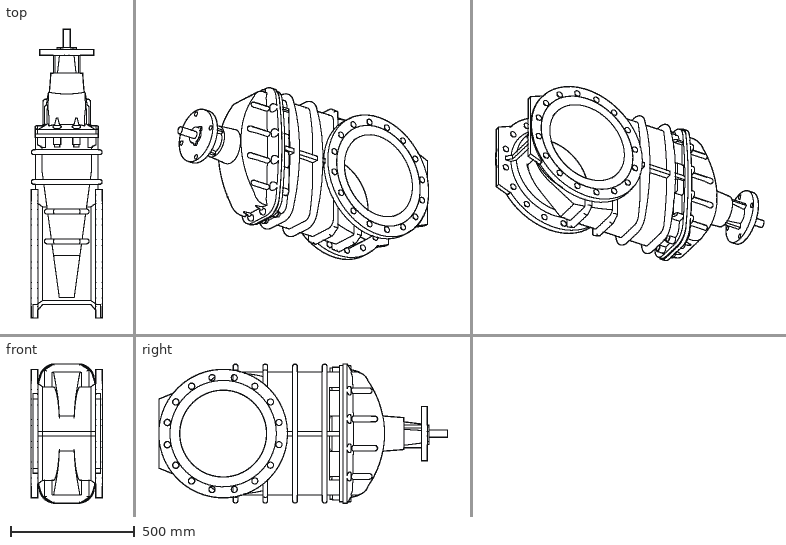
import cadquery as cq
import math


BORE_D = 350
HALF_LENGTH = 145
FLANGE_D = 520
FLANGE_FACE_X = 144
FLANGE_BACK_X = 117
RAISED_FACE_D = 430
HUB_R = 189
HUB_HALF_X = 97
HUB_FLARE_R = 203
BOLT_CIRCLE_D = 460
BOLT_HOLE_D = 24.5
BOLT_COUNT = 16
FOOT_OUTER_X = 137
FOOT_TOP_Y = -206
FOOT_TOP_HALF_Z = 162
FOOT_BASE_HALF_Z = 140

CHAMBER_HALF_X = 100
CHAMBER_EDGE_HALF_X = 73
CHAMBER_HALF_Z = 249
CHAMBER_CORNER_R = 31
TAPER_START_Y = 335
TAPER_END_HALF_X = 30
CHAMBER_SHOULDER = (-8, CHAMBER_HALF_Z)
CHAMBER_KNEE = (-111, 168)
CHAMBER_TIP = (-178, 71)
CHAMBER_TOE_R = 197

RIB_R = 10
RIB_HALF_Z = 281
RIB_PITCH = 120
FIRST_RIB_Y = 50
FULL_RIB_HALF_X = 144
FULL_RIB_EDGE_HALF_X = 90
FULL_RIB_CORNER_R = 66
SHORT_RIB_HALF_X = 90
SHORT_RIB_FLAT_HALF_X = 50
SHORT_RIB_SIDE_Z = 262
SPINE_WIDTH = 18
SPINE_HALF_X = 127
SPINE_FOOT_Y = -228

JOINT_Y = 484
BODY_JOINT_BACK_Y = 469
BONNET_JOINT_BACK_Y = 501
BONNET_BASE_Y = 526
JOINT_HALF_X = 128
JOINT_EDGE_HALF_X = 101
BODY_JOINT_HALF_Z = 276
BONNET_JOINT_HALF_Z = 282
JOINT_CORNER_R = 66

BONNET_HALF_X = 87
BONNET_EDGE_HALF_X = 72
DOME_APEX_Y = 652
DOME_R = 375
DOME_EDGE_HALF_Z = 214
DOME_CORNER_LENGTH = 50
DOME_EDGE_Y = DOME_APEX_Y - DOME_R + math.sqrt(DOME_R**2 - DOME_EDGE_HALF_Z**2)
CROWN_HALF_X = 74

SIDE_BOLT_Z = (59, 173)
SIDE_BOLT_HEAD_X = (110, 101)
END_BOLT_X = 39
END_BOLT_HEAD_Z = 258
BOLT_HEAD_R = 18
BOLT_HEAD_TOP_Y = 517
BOLT_RIB_R = 11.5
BOLT_HEAD_ROUND_R = 6
BOLT_RIB_SINK = 1.5
SIDE_BOLT_RIB_TOP_Y = (613, 590)
END_CONE_TOP_Y = 548
END_CONE_TIP_R = 3
END_CONE_Z = 247
PAD_HALF_X = 118
PAD_BEVEL_Y = 440
PAD_END_Y = 429
PAD_BEVEL_WIDTH = 20
PAD_ROUND_R = 10
CENTER_PAD_TOP_Z = 72
OUTER_PAD_Z = (174, 187)
POCKET_FLOOR_X = 104
END_BOSS_D = 30
END_BOSS_Z = 254
END_BOSS_END_Y = 442
END_NUT_D = 23
END_NUT_END_Y = 431

NECK_BASE_Y = 640
NECK_BASE_R = 72
NECK_SHOULDER_Y = 729.5
NECK_SHOULDER_R = 65
THROAT_BASE_R = 48
THROAT_TOP_R = 39
WEB_R = 58
WEB_THICKNESS = 15
TOP_FLANGE_BACK_Y = 801
TOP_FLANGE_FACE_Y = 825
TOP_FLANGE_D = 220
TOP_FLANGE_BOLT_R = 95
TOP_FLANGE_HOLE_D = 18
TOP_FLANGE_HOLE_COUNT = 4
COLLAR_R = 34
COLLAR_END_Y = 832
COLLAR_LUG_R = 9
COLLAR_LUG_CENTER_R = 36
STEM_D = 30
STEM_END_Y = 907
THIRD_TURN_ANGLES = (30, 150, 270)


def cylinder_y(radius, start_y, end_y, x=0, z=0):
    """Cylinder with its axis along Y."""
    start = cq.Vector(x, start_y, z)
    return cq.Workplane(cq.Solid.makeCylinder(radius, end_y - start_y, start, cq.Vector(0, 1, 0)))


def cone_y(start_r, end_r, start_y, end_y, x=0, z=0):
    """Cone with its axis along Y."""
    start = cq.Vector(x, start_y, z)
    return cq.Workplane(cq.Solid.makeCone(start_r, end_r, end_y - start_y, start, cq.Vector(0, 1, 0)))


def box_between(x_range, y_range, z_range):
    """Axis-aligned box between pairs of limits."""
    limits = (x_range, y_range, z_range)
    sizes = [high - low for low, high in limits]
    return cq.Workplane("XY").box(*sizes, centered=False).translate([low for low, high in limits])


def section_plane(y):
    """XZ work plane at the given Y whose normal points to +Y (local y is -Z)."""
    return cq.Workplane(cq.Plane(origin=(0, y, 0), xDir=(1, 0, 0), normal=(0, 1, 0)))


def sharp_barrel_plate(start_y, end_y, half_x, edge_half_x, half_z, taper=0):
    """Plate along Y: flat top and bottom, bowed sides, optionally tapering inwards."""
    return (
        section_plane(start_y)
        .moveTo(-edge_half_x, half_z)
        .lineTo(edge_half_x, half_z)
        .threePointArc((half_x, 0), (edge_half_x, -half_z))
        .lineTo(-edge_half_x, -half_z)
        .threePointArc((-half_x, 0), (-edge_half_x, half_z))
        .close()
        .extrude(end_y - start_y, taper=taper)
    )


def barrel_plate(start_y, end_y, half_x, edge_half_x, half_z, corner_r):
    """Bowed plate with rounded corners."""
    plate = sharp_barrel_plate(start_y, end_y, half_x, edge_half_x, half_z)
    return plate.edges("|Y").fillet(corner_r)


def pipe_hub():
    """Solid of revolution about the bore axis, with raised faces."""
    right_profile = [
        (HUB_HALF_X, HUB_R),
        (FLANGE_BACK_X, HUB_FLARE_R),
        (FLANGE_BACK_X, FLANGE_D / 2),
        (FLANGE_FACE_X, FLANGE_D / 2),
        (FLANGE_FACE_X, RAISED_FACE_D / 2),
        (HALF_LENGTH, RAISED_FACE_D / 2),
        (HALF_LENGTH, 0),
    ]
    left_profile = [(-x, radius) for x, radius in reversed(right_profile)]
    profile = cq.Workplane("XY").polyline(left_profile + right_profile).close()
    return profile.revolve(360, (0, 0, 0), (1, 0, 0))


def foot():
    """Flat-based foot under the -X flange."""
    base_y = -FLANGE_D / 2
    return (
        cq.Workplane("YZ", origin=(-FOOT_OUTER_X, 0, 0))
        .moveTo(FOOT_TOP_Y, -FOOT_TOP_HALF_Z)
        .lineTo(base_y, -FOOT_BASE_HALF_Z)
        .lineTo(base_y, FOOT_BASE_HALF_Z)
        .lineTo(FOOT_TOP_Y, FOOT_TOP_HALF_Z)
        .close()
        .extrude(FOOT_OUTER_X - FLANGE_BACK_X)
    )


def gate_chamber():
    """Bowed chamber whose sides taper and whose ends slope into the hub."""
    tip_y = CHAMBER_TIP[0]
    chamber = barrel_plate(
        tip_y, JOINT_Y, CHAMBER_HALF_X, CHAMBER_EDGE_HALF_X, CHAMBER_HALF_Z, CHAMBER_CORNER_R
    )
    plan = (
        cq.Workplane("XY", origin=(0, 0, -CHAMBER_HALF_Z))
        .moveTo(-TAPER_END_HALF_X, tip_y)
        .lineTo(TAPER_END_HALF_X, tip_y)
        .lineTo(CHAMBER_HALF_X, TAPER_START_Y)
        .lineTo(CHAMBER_HALF_X, JOINT_Y)
        .lineTo(-CHAMBER_HALF_X, JOINT_Y)
        .lineTo(-CHAMBER_HALF_X, TAPER_START_Y)
        .close()
        .extrude(2 * CHAMBER_HALF_Z)
    )
    upper_half = [(JOINT_Y, CHAMBER_HALF_Z), CHAMBER_SHOULDER, CHAMBER_KNEE]
    lower_half = [(y, -z) for y, z in reversed(upper_half)]
    knee_angle = math.atan2(CHAMBER_KNEE[1], CHAMBER_KNEE[0])
    tip_angle = math.atan2(CHAMBER_TIP[1], CHAMBER_TIP[0])
    toe_angle = (knee_angle + tip_angle) / 2
    toe_y = CHAMBER_TOE_R * math.cos(toe_angle)
    toe_z = CHAMBER_TOE_R * math.sin(toe_angle)
    side = (
        cq.Workplane("YZ")
        .polyline(upper_half)
        .threePointArc((toe_y, toe_z), CHAMBER_TIP)
        .lineTo(tip_y, -CHAMBER_TIP[1])
        .threePointArc((toe_y, -toe_z), lower_half[0])
        .polyline(lower_half, includeCurrent=False)
        .close()
        .extrude(CHAMBER_HALF_X, both=True)
    )
    return chamber.intersect(plan).intersect(side)


def add_round_rim(core):
    """Sweep a circle around a plate so that its outer edge becomes a full round."""
    end_outline = core.faces("<Y").wires().val()
    outline = end_outline.translate(cq.Vector(0, RIB_R, 0))
    start_plane = cq.Plane(origin=outline.positionAt(0).toTuple(), normal=outline.tangentAt(0).toTuple())
    rim = cq.Workplane(start_plane).circle(RIB_R).sweep(cq.Workplane(outline), transition="right")
    return core.union(rim)


def full_rib(y):
    """Round-edged rib running all the way around the chamber."""
    core = barrel_plate(
        -RIB_R,
        RIB_R,
        FULL_RIB_HALF_X - RIB_R,
        FULL_RIB_EDGE_HALF_X - RIB_R,
        RIB_HALF_Z - RIB_R,
        FULL_RIB_CORNER_R - RIB_R,
    )
    return add_round_rim(core).translate((0, y, 0))


def short_rib(y):
    """Round-edged rib across the chamber beside the hub, with bevelled corners."""
    side_x = SHORT_RIB_HALF_X - RIB_R
    side_z = SHORT_RIB_SIDE_Z - RIB_R
    flat_z = RIB_HALF_Z - RIB_R
    corners = [
        (side_x, side_z),
        (SHORT_RIB_FLAT_HALF_X, flat_z),
        (-SHORT_RIB_FLAT_HALF_X, flat_z),
        (-side_x, side_z),
    ]
    opposite = [(-x, -z) for x, z in corners]
    core = section_plane(-RIB_R).polyline(corners + opposite).close().extrude(2 * RIB_R)
    return add_round_rim(core).translate((0, y, 0))


def center_spine():
    """Narrow rib in the Z = 0 plane along the chamber and below the hub."""
    return (
        cq.Workplane("XY", origin=(0, 0, -SPINE_WIDTH / 2))
        .moveTo(-SPINE_HALF_X, JOINT_Y)
        .lineTo(SPINE_HALF_X, JOINT_Y)
        .lineTo(SPINE_HALF_X, SPINE_FOOT_Y)
        .lineTo(FLANGE_BACK_X, SPINE_FOOT_Y)
        .lineTo(HUB_HALF_X, FOOT_TOP_Y)
        .lineTo(-HUB_HALF_X, FOOT_TOP_Y)
        .lineTo(-FLANGE_BACK_X, SPINE_FOOT_Y)
        .lineTo(-SPINE_HALF_X, SPINE_FOOT_Y)
        .close()
        .extrude(SPINE_WIDTH)
    )


def joint_flanges():
    """Chamber flange, bonnet flange and the bevel up to the bonnet wall."""
    body_flange = barrel_plate(
        BODY_JOINT_BACK_Y, JOINT_Y, JOINT_HALF_X, JOINT_EDGE_HALF_X, BODY_JOINT_HALF_Z, JOINT_CORNER_R
    )
    bonnet_flange = barrel_plate(
        JOINT_Y, BONNET_JOINT_BACK_Y, JOINT_HALF_X, JOINT_EDGE_HALF_X, BONNET_JOINT_HALF_Z, JOINT_CORNER_R
    )
    bevel_height = BONNET_BASE_Y - BONNET_JOINT_BACK_Y
    bevel_angle = math.degrees(math.atan2(JOINT_HALF_X - BONNET_HALF_X, bevel_height))
    bevel = bonnet_flange.faces(">Y").wires().toPending().workplane().extrude(
        bevel_height, taper=bevel_angle, combine=False
    )
    return body_flange.union(bonnet_flange).union(bevel)


def bonnet():
    """Domed bonnet with bowed sides and a tapering crown."""
    mid_dome_y = DOME_APEX_Y - DOME_R + math.sqrt(DOME_R**2 - (DOME_EDGE_HALF_Z / 2) ** 2)
    corner_y = DOME_EDGE_Y - DOME_CORNER_LENGTH
    dome = (
        cq.Workplane("YZ")
        .moveTo(JOINT_Y, 0)
        .lineTo(JOINT_Y, CHAMBER_HALF_Z)
        .lineTo(corner_y, CHAMBER_HALF_Z)
        .tangentArcPoint((DOME_EDGE_Y, DOME_EDGE_HALF_Z), relative=False)
        .threePointArc((mid_dome_y, DOME_EDGE_HALF_Z / 2), (DOME_APEX_Y, 0))
        .close()
        .extrude(BONNET_HALF_X, both=True)
    )
    dome = dome.union(dome.mirror("XY"))
    wall_shape = (BONNET_HALF_X, BONNET_EDGE_HALF_X, CHAMBER_HALF_Z)
    crown_angle = math.degrees(math.atan2(BONNET_HALF_X - CROWN_HALF_X, DOME_APEX_Y - DOME_EDGE_Y))
    wall = sharp_barrel_plate(JOINT_Y, DOME_EDGE_Y, *wall_shape)
    crown = sharp_barrel_plate(DOME_EDGE_Y, DOME_APEX_Y, *wall_shape, taper=crown_angle)
    return wall.union(crown).intersect(dome)


def bonnet_wall_x(z):
    """Half-width of the bowed bonnet wall at height z."""
    bow = BONNET_HALF_X - BONNET_EDGE_HALF_X
    return BONNET_HALF_X - bow * (z / CHAMBER_HALF_Z) ** 2


def side_bolts():
    """Bolt heads on the +X side, each under a rounded rib on the bonnet."""
    bolts = cq.Workplane()
    for z, head_x, rib_top_y in zip(SIDE_BOLT_Z, SIDE_BOLT_HEAD_X, SIDE_BOLT_RIB_TOP_Y):
        rib_x = bonnet_wall_x(z) - BOLT_RIB_SINK
        rib = cylinder_y(BOLT_RIB_R, JOINT_Y, rib_top_y, rib_x, z)
        rib_end = cq.Workplane().sphere(BOLT_RIB_R).translate((rib_x, rib_top_y, z))
        head = cylinder_y(BOLT_HEAD_R, JOINT_Y, BOLT_HEAD_TOP_Y, head_x, z)
        head = head.faces(">Y").edges().fillet(BOLT_HEAD_ROUND_R)
        bolts = bolts.add(rib).add(rib_end).add(head)
    return bolts.combine()


def side_pad():
    """Pads behind the chamber flange with a pocket between them, on the +X, +Z side."""
    plan = [
        (0, BODY_JOINT_BACK_Y),
        (PAD_HALF_X, BODY_JOINT_BACK_Y),
        (PAD_HALF_X, PAD_BEVEL_Y),
        (PAD_HALF_X - PAD_BEVEL_WIDTH, PAD_END_Y),
        (0, PAD_END_Y),
    ]
    center_pad = cq.Workplane("XY").polyline(plan).close().extrude(CENTER_PAD_TOP_Z)
    pads = center_pad.edges(">Z and >X").fillet(PAD_ROUND_R)
    outer_low_z, outer_high_z = OUTER_PAD_Z
    outer_pad = (
        cq.Workplane("XY", origin=(0, 0, outer_low_z))
        .polyline(plan)
        .close()
        .extrude(outer_high_z - outer_low_z)
    )
    pads = pads.union(outer_pad.edges(">Z and >X").fillet(PAD_ROUND_R))
    floor = box_between(
        (0, POCKET_FLOOR_X),
        (PAD_END_Y, BODY_JOINT_BACK_Y),
        (CENTER_PAD_TOP_Z - PAD_ROUND_R, outer_high_z - PAD_ROUND_R),
    )
    return pads.union(floor)


def end_bolt():
    """Bolt head, bonnet cone, boss and nut on the +Z end."""
    head = cylinder_y(BOLT_HEAD_R, JOINT_Y, BOLT_HEAD_TOP_Y, END_BOLT_X, END_BOLT_HEAD_Z)
    head = head.faces(">Y").edges().fillet(BOLT_HEAD_ROUND_R)
    cone = cone_y(BOLT_RIB_R, END_CONE_TIP_R, BOLT_HEAD_TOP_Y, END_CONE_TOP_Y, END_BOLT_X, END_CONE_Z)
    boss = cylinder_y(END_BOSS_D / 2, END_BOSS_END_Y, JOINT_Y, END_BOLT_X, END_BOSS_Z)
    nut = cylinder_y(END_NUT_D / 2, END_NUT_END_Y, JOINT_Y, END_BOLT_X, END_BOSS_Z)
    return head.union(cone).union(boss).union(nut)


def neck():
    """Tapered neck with three webs, top flange, collar and stem."""
    solid = cone_y(NECK_BASE_R, NECK_SHOULDER_R, NECK_BASE_Y, NECK_SHOULDER_Y)
    solid = solid.union(cone_y(THROAT_BASE_R, THROAT_TOP_R, NECK_SHOULDER_Y, TOP_FLANGE_BACK_Y))
    solid = solid.union(cylinder_y(TOP_FLANGE_D / 2, TOP_FLANGE_BACK_Y, TOP_FLANGE_FACE_Y))
    solid = solid.union(cylinder_y(COLLAR_R, TOP_FLANGE_FACE_Y, COLLAR_END_Y))
    solid = solid.union(cylinder_y(STEM_D / 2, COLLAR_END_Y, STEM_END_Y))
    for angle in THIRD_TURN_ANGLES:
        web = box_between(
            (0, WEB_R), (NECK_SHOULDER_Y, TOP_FLANGE_BACK_Y), (-WEB_THICKNESS / 2, WEB_THICKNESS / 2)
        ).rotate((0, 0, 0), (0, 1, 0), -angle)
        lug_x = COLLAR_LUG_CENTER_R * math.cos(math.radians(angle))
        lug_z = COLLAR_LUG_CENTER_R * math.sin(math.radians(angle))
        lug = cylinder_y(COLLAR_LUG_R, TOP_FLANGE_FACE_Y, COLLAR_END_Y, lug_x, lug_z)
        solid = solid.union(web).union(lug)
    holes = (
        section_plane(TOP_FLANGE_BACK_Y)
        .polarArray(TOP_FLANGE_BOLT_R, 0, 360, TOP_FLANGE_HOLE_COUNT)
        .circle(TOP_FLANGE_HOLE_D / 2)
        .extrude(TOP_FLANGE_FACE_Y - TOP_FLANGE_BACK_Y)
    )
    return solid.cut(holes)


def four_way(quarter):
    """Quarter feature together with its mirror images across X and Z."""
    half = quarter.union(quarter.mirror("YZ"))
    return half.union(half.mirror("XY"))


def pipe_openings():
    """Through bore, and bolt holes through both flanges."""
    first_angle = 180 / BOLT_COUNT
    holes = (
        cq.Workplane("YZ", origin=(FLANGE_BACK_X, 0, 0))
        .polarArray(BOLT_CIRCLE_D / 2, first_angle, 360, BOLT_COUNT)
        .circle(BOLT_HOLE_D / 2)
        .extrude(HALF_LENGTH - FLANGE_BACK_X)
    )
    bore = cq.Workplane("YZ", origin=(-HALF_LENGTH, 0, 0)).circle(BORE_D / 2).extrude(2 * HALF_LENGTH)
    return bore.union(holes).union(holes.mirror("YZ"))


result = pipe_hub().union(foot()).union(foot().mirror("YZ"))
result = result.union(gate_chamber()).union(center_spine())
for index in range(2):
    result = result.union(short_rib(FIRST_RIB_Y + index * RIB_PITCH))
    result = result.union(full_rib(FIRST_RIB_Y + (index + 2) * RIB_PITCH))
result = result.union(joint_flanges()).union(bonnet()).union(neck())
for quarter_feature in (side_bolts(), side_pad(), end_bolt()):
    result = result.union(four_way(quarter_feature))
result = result.cut(pipe_openings())